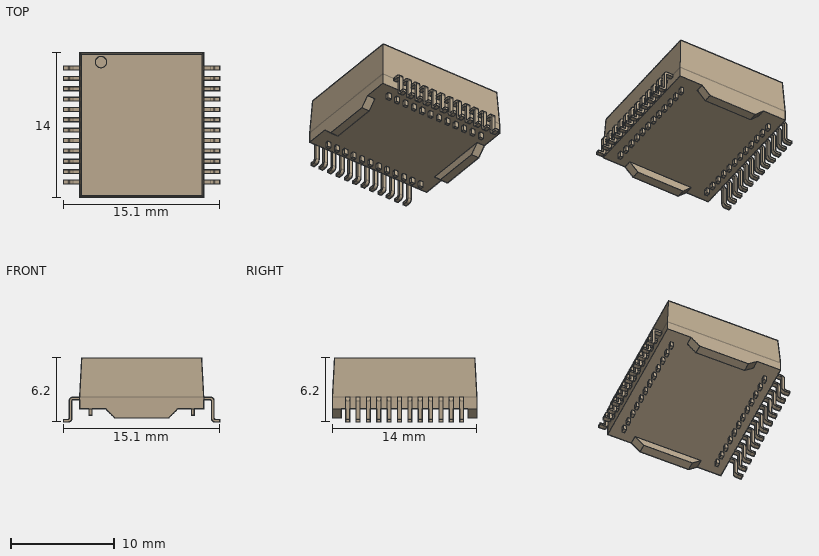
import cadquery as cq
import math

overall_x = 15.11
overall_height = 6.2

body_x = 12.0
body_y = 13.97
base_bottom_z = 1.28
parting_z = 2.42
cover_inset = 0.2

skirt_bottom_z = 0.38
skirt_thickness = 0.88
skirt_top_width = 7.0
skirt_bottom_width = 5.15

leads_per_side = 12
lead_pitch = 1.0
lead_width = 0.4
lead_thickness = 0.27
lead_outer_span = 14.0
bend_inner_radius = 0.1
lead_embed = 0.5

pin_spacing_x = 9.88
pin_thickness = 0.3
pin_bottom_z = 0.66

mark_diameter = 1.1
mark_depth = 0.02
mark_x = -3.93
mark_y = 6.07

lead_rows_y = [(i - (leads_per_side - 1) / 2) * lead_pitch for i in range(leads_per_side)]


def make_housing():
    """Base block with the tapered cover on top."""
    base = (
        cq.Workplane("XY")
        .workplane(offset=base_bottom_z)
        .rect(body_x, body_y)
        .extrude(parting_z - base_bottom_z)
    )
    cover_height = overall_height - parting_z
    draft_angle = math.degrees(math.atan(cover_inset / cover_height))
    cover = (
        cq.Workplane("XY")
        .workplane(offset=parting_z)
        .rect(body_x, body_y)
        .extrude(cover_height, taper=draft_angle)
    )
    return base.union(cover)


def make_skirt(outer_y, inner_y):
    """Trapezoidal skirt between two Y positions."""
    return (
        cq.Workplane("XZ", origin=(0, max(outer_y, inner_y), 0))
        .moveTo(-skirt_top_width / 2, base_bottom_z)
        .lineTo(-skirt_bottom_width / 2, skirt_bottom_z)
        .lineTo(skirt_bottom_width / 2, skirt_bottom_z)
        .lineTo(skirt_top_width / 2, base_bottom_z)
        .close()
        .extrude(abs(outer_y - inner_y))
    )


def make_lead():
    """Lead on the +X side, centred on Y = 0: shoulder, upright and foot."""
    root_x = body_x / 2 - lead_embed
    upright_outer_x = lead_outer_span / 2
    upright_inner_x = upright_outer_x - lead_thickness
    tip_x = overall_x / 2
    inner_r = bend_inner_radius
    outer_r = bend_inner_radius + lead_thickness
    return (
        cq.Workplane("XZ")
        .moveTo(root_x, parting_z)
        .lineTo(upright_outer_x - outer_r, parting_z)
        .radiusArc((upright_outer_x, parting_z - outer_r), outer_r)
        .lineTo(upright_outer_x, lead_thickness + inner_r)
        .radiusArc((upright_outer_x + inner_r, lead_thickness), -inner_r)
        .lineTo(tip_x, lead_thickness)
        .lineTo(tip_x, 0)
        .lineTo(upright_inner_x + outer_r, 0)
        .radiusArc((upright_inner_x, outer_r), outer_r)
        .lineTo(upright_inner_x, parting_z - outer_r)
        .radiusArc((upright_inner_x - inner_r, parting_z - lead_thickness), -inner_r)
        .lineTo(root_x, parting_z - lead_thickness)
        .close()
        .extrude(lead_width / 2, both=True)
    )


def make_pin():
    """Rectangular pin on the +X side, from the parting plane downward."""
    return (
        cq.Workplane("XY", origin=(pin_spacing_x / 2, 0, pin_bottom_z))
        .rect(pin_thickness, lead_width)
        .extrude(parting_z - pin_bottom_z)
    )


def make_index_mark():
    """Shallow disc cut into the top face beside the first lead."""
    return (
        cq.Workplane("XY", origin=(mark_x, mark_y, overall_height))
        .circle(mark_diameter / 2)
        .extrude(-mark_depth)
    )


result = make_housing()

for end in (-1, 1):
    outer_face_y = end * body_y / 2
    inner_face_y = outer_face_y - end * skirt_thickness
    result = result.union(make_skirt(outer_face_y, inner_face_y))

right_terminals = [make_lead(), make_pin()]
left_terminals = [terminal.mirror("YZ") for terminal in right_terminals]
for row_y in lead_rows_y:
    for terminal in right_terminals + left_terminals:
        result = result.union(terminal.translate((0, row_y, 0)))

result = result.cut(make_index_mark())